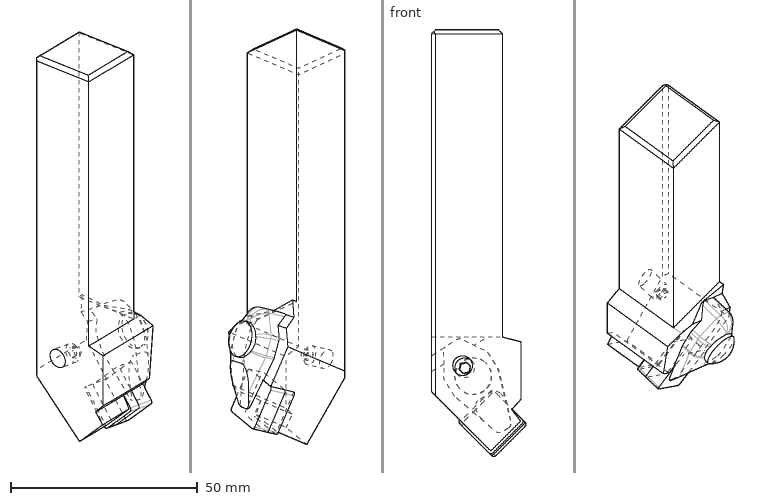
import cadquery as cq
import math

LENGTH = 114.3
SHANK = 19.1
EDGE_CHAMFER = 1.1

HEAD_TOP = 32.0
HEAD_WIDTH = 24.0
SHOULDER_DROP = 1.3
FLANK_TOP = 17.4
NOSE_X = 15.9
FLANK_LENGTH_X = 8.0
NOTCH_X = 21.5
NOTCH_Z = 12.6
NOTCH_TOP = 15.3
STOCK_DEPTH = 29.7

TILT = 8.0
HOLE_X = 8.3
HOLE_Z = 24.3
RAKE_HEIGHT = 22.0
HOLE_RADIUS = 2.6
HOLE_DEPTH = 5.7
SOCKET_WIDTH = 2.7
SOCKET_DEPTH = 1.7

SEAT_DEPTH = 3.2
SEAT_EDGE = 6.1

CLAMP_ANGLE = 58.5
TAIL_REACH = 9.4
NOSE_REACH = 17.8
TAIL_HALF_WIDTH = 2.5
CLAMP_HALF_WIDTH = 6.9
NOSE_HALF_WIDTH = 2.1
SIDE_HALF_LENGTH = 2.7
CLAMP_HEIGHT = 6.4
CLAMP_FILLET = 3.7
CORNER_FILLET = 1.6
SLOPE_START = 6.3
NOSE_HEIGHT = 0.3
SCREW_RADIUS = 4.9
SCREW_RIM = 7.4
SCREW_TOP = 9.8

INSERT_SIDE = 12.7
INSERT_THICKNESS = 4.8
SHIM_THICKNESS = 3.2
NOSE_RADIUS = 0.8
INSERT_RISE = 0.1
TIP_X = 16.7
CUTTER = 91.4

LEAN = math.sin(math.radians(TILT)) / math.sqrt(2)
AXIS = cq.Vector(LEAN, math.cos(math.radians(TILT)), -LEAN)
HOLE_MOUTH = cq.Vector(HOLE_X, 0, HOLE_Z)
RAKE_ORIGIN = HOLE_MOUTH + AXIS * RAKE_HEIGHT


def in_rake_plane(x, z):
    """Direction square to the screw axis with the given X and Z parts."""
    return cq.Vector(x, -(AXIS.x * x + AXIS.z * z) / AXIS.y, z)


clamp_turn = math.radians(CLAMP_ANGLE)
CLAMP_PLANE = cq.Plane(RAKE_ORIGIN, in_rake_plane(math.cos(clamp_turn), -math.sin(clamp_turn)), AXIS)

tip_z = -NOSE_RADIUS * (math.sqrt(2) - 1)
tip_step = in_rake_plane(TIP_X - RAKE_ORIGIN.x, tip_z - RAKE_ORIGIN.z)
INSERT_PLANE = cq.Plane(RAKE_ORIGIN + tip_step + AXIS * INSERT_RISE, cq.Vector(1, 0, 1), AXIS)


def square_plate(top, thickness):
    """Square plate with rounded corners, its top at the given insert-plane height."""
    return (
        cq.Workplane(INSERT_PLANE)
        .workplane(offset=top - thickness)
        .center(INSERT_SIDE / 2, -INSERT_SIDE / 2)
        .rect(INSERT_SIDE, INSERT_SIDE)
        .extrude(thickness)
        .edges(cq.selectors.ParallelDirSelector(AXIS))
        .fillet(NOSE_RADIUS)
    )


def make_insert():
    return square_plate(0, INSERT_THICKNESS)


def make_shim():
    return square_plate(-INSERT_THICKNESS, SHIM_THICKNESS)


def make_shank():
    return (
        cq.Workplane("XY", origin=(0, 0, FLANK_TOP))
        .rect(SHANK, SHANK, centered=False)
        .extrude(LENGTH - FLANK_TOP)
        .faces(">Z")
        .chamfer(EDGE_CHAMFER)
    )


def make_head():
    nose_z = FLANK_TOP - NOSE_X
    head = (
        cq.Workplane("XZ")
        .moveTo(0, HEAD_TOP)
        .lineTo(SHANK, HEAD_TOP)
        .lineTo(HEAD_WIDTH, HEAD_TOP - SHOULDER_DROP)
        .lineTo(HEAD_WIDTH, NOTCH_TOP)
        .lineTo(NOTCH_X, NOTCH_Z)
        .lineTo(NOSE_X + FLANK_LENGTH_X, nose_z + FLANK_LENGTH_X)
        .lineTo(NOSE_X, nose_z)
        .lineTo(0, FLANK_TOP)
        .close()
        .extrude(-STOCK_DEPTH)
    )
    above_rake = cq.Workplane(CLAMP_PLANE).rect(CUTTER, CUTTER).extrude(CUTTER)
    return head.cut(above_rake).cut(make_seat())


def make_seat():
    """Recess for the clamp tail, ramped at 45 degrees and open to the rear."""
    return (
        cq.Workplane(CLAMP_PLANE)
        .transformed(rotate=(90, 0, 0))
        .moveTo(-SEAT_EDGE + SEAT_DEPTH, SEAT_DEPTH)
        .lineTo(-SEAT_EDGE - SEAT_DEPTH, -SEAT_DEPTH)
        .lineTo(-CUTTER, -SEAT_DEPTH)
        .lineTo(-CUTTER, SEAT_DEPTH)
        .close()
        .extrude(CUTTER / 2, both=True)
    )


def make_edge_chamfer():
    """Wedge that bevels the front left edge of the shank and head."""
    return (
        cq.Workplane("XY")
        .polyline([(0, 0), (EDGE_CHAMFER, 0), (0, EDGE_CHAMFER)])
        .close()
        .extrude(LENGTH)
    )


def make_screw_hole():
    hole_plane = cq.Plane(HOLE_MOUTH, cq.Vector(1, 0, 1), AXIS)
    hole = (
        cq.Workplane(hole_plane)
        .workplane(offset=-HOLE_RADIUS)
        .circle(HOLE_RADIUS)
        .extrude(HOLE_RADIUS + HOLE_DEPTH)
    )
    socket = (
        cq.Workplane(hole_plane)
        .workplane(offset=HOLE_DEPTH)
        .polygon(6, SOCKET_WIDTH, circumscribed=True)
        .extrude(SOCKET_DEPTH)
    )
    return hole.union(socket)


def make_clamp():
    outline = [(-TAIL_REACH, TAIL_HALF_WIDTH), (-SIDE_HALF_LENGTH, CLAMP_HALF_WIDTH),
               (SIDE_HALF_LENGTH, CLAMP_HALF_WIDTH), (NOSE_REACH, NOSE_HALF_WIDTH)]
    mirrored = [(x, -y) for x, y in reversed(outline)]
    clamp = (
        cq.Workplane(CLAMP_PLANE)
        .workplane(offset=-SEAT_DEPTH)
        .polyline(outline + mirrored)
        .close()
        .extrude(SEAT_DEPTH + CLAMP_HEIGHT)
    )
    above_slope = (
        cq.Workplane(CLAMP_PLANE)
        .transformed(rotate=(90, 0, 0))
        .moveTo(SLOPE_START, CLAMP_HEIGHT)
        .lineTo(NOSE_REACH, NOSE_HEIGHT)
        .lineTo(NOSE_REACH, CLAMP_HEIGHT)
        .close()
        .extrude(CUTTER / 2, both=True)
    )
    rounded = (
        clamp
        .edges(cq.selectors.ParallelDirSelector(AXIS))
        .fillet(CORNER_FILLET)
        .faces(cq.selectors.DirectionMinMaxSelector(AXIS))
        .edges()
        .fillet(CLAMP_FILLET)
    )
    return rounded.cut(above_slope).cut(make_under_clamp())


def make_under_clamp():
    """Space below the rake face in front of the seat ramp."""
    return (
        cq.Workplane(CLAMP_PLANE)
        .transformed(rotate=(90, 0, 0))
        .moveTo(-SEAT_EDGE, 0)
        .lineTo(-SEAT_EDGE - SEAT_DEPTH, -SEAT_DEPTH)
        .lineTo(NOSE_REACH, -SEAT_DEPTH)
        .lineTo(NOSE_REACH, 0)
        .close()
        .extrude(CUTTER / 2, both=True)
    )


def make_screw_head():
    """Domed screw head standing on the rake face."""
    dome_height = SCREW_TOP - SCREW_RIM
    dome_radius = (SCREW_RADIUS**2 + dome_height**2) / (2 * dome_height)
    half_angle = math.asin(SCREW_RADIUS / dome_radius) / 2
    mid_x = dome_radius * math.sin(half_angle)
    mid_z = SCREW_TOP - dome_radius * (1 - math.cos(half_angle))
    return (
        cq.Workplane(CLAMP_PLANE)
        .transformed(rotate=(90, 0, 0))
        .lineTo(SCREW_RADIUS, 0)
        .lineTo(SCREW_RADIUS, SCREW_RIM)
        .threePointArc((mid_x, mid_z), (0, SCREW_TOP))
        .close()
        .revolve(360, (0, 0), (0, 1))
    )


def make_holder(insert):
    """Shank and head with the shim, clamp and clamp screw, pocketed for the insert."""
    holder = (
        make_shank()
        .union(make_head())
        .cut(make_edge_chamfer())
        .cut(make_screw_hole())
    )
    holder = holder.union(make_shim()).union(make_clamp()).union(make_screw_head())
    return holder.cut(insert)


insert = make_insert()
holder = make_holder(insert)
result = cq.Compound.makeCompound([holder.solids().val(), insert.solids().val()])